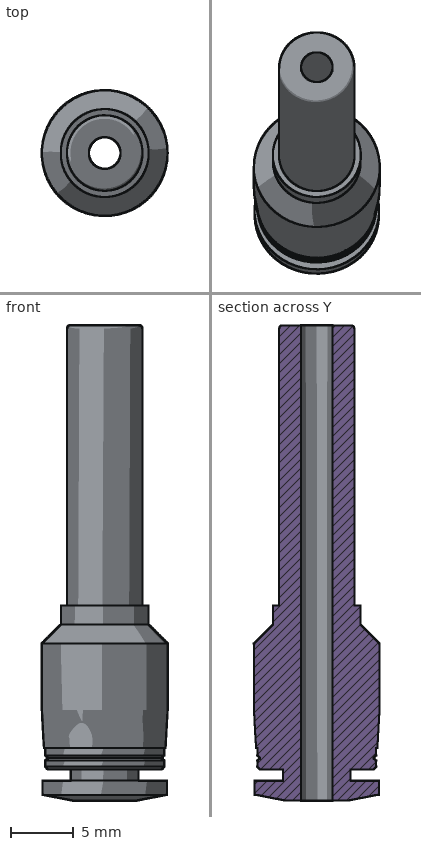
import cadquery as cq

total_length = 37.8
bore_diameter = 2.5

button_diameter = 9.9
button_face_diameter = 4.85
neck_diameter = 5.4
ring_diameter = 9.5
groove_diameter = 9.05
taper_end_diameter = 9.68
body_diameter = 10.0
collar_diameter = 7.0
stem_diameter = 6.0

button_edge_z = 0.5
button_top_z = 1.63
ring_bottom_z = 2.5
ring_top_z = 3.2
groove_top_z = 3.4
taper_bottom_z = 4.2
body_bottom_z = 7.22
shoulder_bottom_z = 12.5
collar_bottom_z = 14.02
collar_top_z = 15.55

ring_chamfer = (ring_diameter - groove_diameter) / 2
stem_end_radius = 0.3


def section(bottom_z, top_z, bottom_diameter, top_diameter=None):
    """Straight or conical round section between two heights on the Z axis."""
    if top_diameter is None:
        top_diameter = bottom_diameter
    profile = [
        (0, bottom_z),
        (bottom_diameter / 2, bottom_z),
        (top_diameter / 2, top_z),
        (0, top_z),
    ]
    return cq.Workplane("XZ").polyline(profile).close().revolve(360, (0, 0), (0, 1))


def release_button():
    face = section(0, button_edge_z, button_face_diameter, button_diameter)
    rim = section(button_edge_z, button_top_z, button_diameter)
    neck = section(button_top_z, ring_bottom_z, neck_diameter)
    return face.union(rim).union(neck)


def chamfered_ring(bottom_z, top_z):
    """Ring whose lower outer edge is bevelled."""
    return section(bottom_z, top_z, ring_diameter).faces("<Z").edges().chamfer(ring_chamfer)


def body():
    end_ring = chamfered_ring(ring_bottom_z, ring_top_z)
    groove = section(ring_top_z, groove_top_z, ring_diameter, groove_diameter)
    upper_ring = chamfered_ring(groove_top_z, taper_bottom_z)
    taper = section(taper_bottom_z, body_bottom_z, taper_end_diameter, body_diameter)
    barrel = section(body_bottom_z, shoulder_bottom_z, body_diameter)
    shoulder = section(shoulder_bottom_z, collar_bottom_z, body_diameter, collar_diameter)
    collar = section(collar_bottom_z, collar_top_z, collar_diameter)
    solid = end_ring
    for part in (groove, upper_ring, taper, barrel, shoulder, collar):
        solid = solid.union(part)
    return solid


def stem():
    blank = section(collar_top_z, total_length, stem_diameter)
    return blank.faces(">Z").edges().fillet(stem_end_radius)


bore = section(0, total_length, bore_diameter)
result = release_button().union(body()).union(stem()).cut(bore)